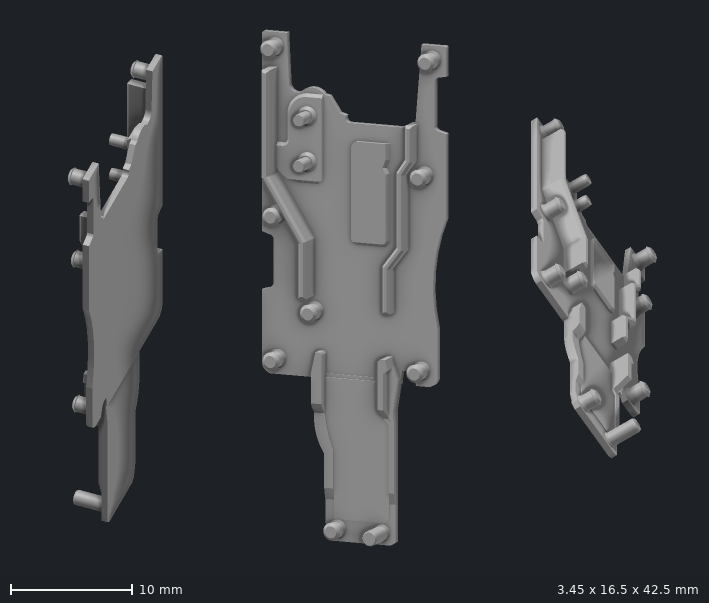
import cadquery as cq
import math


PLATE = 0.55
PAD = 0.95
LEFT_RIB = 2.65
RIGHT_RIB = 1.9
PIN_TIP = 2.15
BOSS_TIP = 2.9
POST_TIP = 3.45

TONGUE_BACK = 0.13
TONGUE_END = 0.7
FLOOR = 0.75
FLOOR_STEP = 0.65
RAIL = 0.95
LEFT_STAND = 1.6
RIGHT_STAND = 2.35
STAND_LEDGE = 1.2

WIDTH = 16.5
HEIGHT = 42.45
PLATE_BOTTOM = 13.63
NOTCH_DEPTH = 1.0

RELIEF_FOOT = (4.08, 14.1)

RIB_WIDTH = 0.7
RIB_CHAMFER = 0.2
PAD_BEVEL = 0.25
TIP_CORNER = 0.15

SNAP_PIN_PLACES = [
    (15.32, 41.2), (1.25, 41.2), (1.9, 31.4), (15.1, 27.13),
    (15.1, 14.95), (11.75, 19.25), (2.2, 14.95),
]
TONGUE_PIN_PLACE = (9.68, 1.0)
BOSS_PLACES = [(12.25, 35.65), (12.25, 31.8)]
POST_PLACE = (5.7, 1.0)


def at_level(level):
    """YZ workplane at a level in front of the back face."""
    return cq.Workplane("YZ", origin=(-level, 0, 0))


def slab(points, front, back=0.0):
    """Extrude a straight-sided outline between two levels."""
    return at_level(front).polyline(points).close().extrude(front - back)


def turned(profile, place):
    """Revolve a (radius, level) profile about an axis along X through a (Y, Z) place."""
    points = [(-level, radius) for radius, level in profile]
    turned_part = cq.Workplane("XY").polyline(points).close().revolve(360, (0, 0), (1, 0))
    return turned_part.translate((0, *place))


def offset_path(path, distance):
    """Move an open path sideways, keeping its corners mitred."""
    headings = [math.atan2(z1 - z0, y1 - y0) for (y0, z0), (y1, z1) in zip(path, path[1:])]
    before = headings[:1] + headings
    after = headings + headings[-1:]
    moved = []
    for (y, z), start, end in zip(path, before, after):
        normal = (start + end) / 2 + math.pi / 2
        reach = distance / math.cos((end - start) / 2)
        moved.append((y + reach * math.cos(normal), z + reach * math.sin(normal)))
    return moved


def side_sweep(profile):
    """Extrude an (X, Z) side profile across the full width."""
    return cq.Workplane("XZ").polyline(profile).close().extrude(-WIDTH)


def rib(path, level):
    """Wall of constant width along a path, with its top edges chamfered."""
    half = RIB_WIDTH / 2
    outline = offset_path(path, half) + offset_path(path, -half)[::-1]
    return slab(outline, level).faces("<X").edges().chamfer(RIB_CHAMFER)


def plate():
    """Flat plate with two upper arms, edge notches and a relief beside the tongue."""
    outline = (
        at_level(PLATE)
        .moveTo(WIDTH, HEIGHT)
        .lineTo(14.3, HEIGHT)
        .lineTo(14.1, 38.2)
        .threePointArc((13.85, 37.7), (13.5, 37.53))
        .lineTo(13.07, 37.53)
        .threePointArc((11.95, 38.05), (10.9, 37.53))
        .lineTo(10.5, 37.45)
        .lineTo(9.55, 36.1)
        .lineTo(9.0, 35.9)
        .threePointArc((8.95, 35.5), (8.7, 35.3))
        .lineTo(3.3, 35.3)
        .threePointArc((2.95, 35.6), (2.7, 36.15))
        .lineTo(2.2, HEIGHT)
        .lineTo(0, HEIGHT)
        .lineTo(0, 39.9)
        .lineTo(0.5, 39.8)
        .threePointArc((0.85, 39.75), (NOTCH_DEPTH, 39.48))
        .lineTo(NOTCH_DEPTH, 35.55)
        .threePointArc((0.95, 35.4), (0.75, 35.28))
        .lineTo(0, 35.05)
        .lineTo(0, 27.95)
        .threePointArc((1.15, 23.15), (0.75, 18.5))
        .lineTo(0.75, 14.45)
        .threePointArc((1.0, 13.9), (1.65, PLATE_BOTTOM))
        .lineTo(2.67, PLATE_BOTTOM)
        .lineTo(3.05, 14.6)
        .lineTo(3.3, 14.8)
        .lineTo(3.95, 14.8)
        .lineTo(*RELIEF_FOOT)
        .lineTo(4.1, PLATE_BOTTOM)
        .lineTo(15.8, PLATE_BOTTOM)
        .threePointArc((16.2, 13.9), (WIDTH, 14.35))
        .lineTo(WIDTH, 20.67)
        .lineTo(16.0, 20.8)
        .threePointArc((15.65, 20.95), (15.5, 21.22))
        .lineTo(15.5, 25.05)
        .threePointArc((15.62, 25.25), (15.85, 25.35))
        .lineTo(WIDTH, 25.55)
        .close()
    )
    outer_corners = outline.extrude(PLATE).edges("|X and >Z").edges("<Y or >Y")
    return outer_corners.fillet(TIP_CORNER)


def window_pad():
    """Raised pad with a bevelled, nicked right side and a bevelled bottom."""
    left, right, top, bottom = 8.35, 5.0, 33.88, 25.15
    corner = 0.6
    pad = (
        at_level(PAD)
        .moveTo(right, top)
        .lineTo(left, top)
        .lineTo(left, bottom)
        .lineTo(right + corner, bottom)
        .radiusArc((right, bottom + corner), corner)
        .lineTo(right, 31.35)
        .lineTo(5.25, 31.85)
        .lineTo(right, 32.5)
        .close()
        .extrude(PAD)
    )
    near_right = cq.selectors.BoxSelector((-PAD - 0.42, right - 0.42, bottom), (-PLATE, right + 0.42, top))
    return pad.faces("<X").edges(near_right).chamfer(PAD_BEVEL).edges("|X and >Y").fillet(corner)


def boss_pad():
    """Raised pad under the two bosses, joined to the left rib and bevelled beside the mound."""
    right, top, bottom = 11.0, 37.53, 29.95
    left = 14.18
    rib_side = 15.35
    neck = 33.25
    sweep = 1.83
    neck_corner = 0.35
    lower_corner = 0.42
    pad = (
        at_level(PAD)
        .moveTo(right, top)
        .lineTo(left - sweep, top)
        .radiusArc((left, top - sweep), sweep)
        .lineTo(left, neck + neck_corner)
        .radiusArc((left + neck_corner, neck), -neck_corner)
        .lineTo(rib_side, neck)
        .lineTo(rib_side, 31.9)
        .threePointArc((14.48, 30.52), (13.25, bottom))
        .lineTo(right + lower_corner, bottom)
        .lineTo(right, bottom + lower_corner)
        .close()
        .extrude(PAD)
    )
    return pad.faces("<X").edges("(>Z) or (<Z)").chamfer(PAD_BEVEL)


def ribs():
    """Two cranked ribs standing on the plate."""
    left = rib([(15.4, 39.55), (15.4, 30.55), (12.1, 25.3), (12.1, 20.55)], LEFT_RIB)
    right_path = [(2.85, 35.75), (2.85, 32.77), (3.6, 31.63), (3.6, 25.25), (4.9, 23.6), (4.9, 19.7)]
    return left.union(rib(right_path, RIGHT_RIB))


def snap_pin(place, root=0.0, foot=PLATE):
    """Short pin from the root level, with a flared foot on a face and a bevelled head."""
    foot_radius, shank_radius, head_radius, tip_radius = 0.8, 0.7, 0.75, 0.5
    profile = [
        (0, root), (foot_radius, root), (foot_radius, foot + 0.05), (shank_radius, foot + 0.3),
        (shank_radius, PIN_TIP - 0.3), (head_radius, PIN_TIP - 0.25), (tip_radius, PIN_TIP), (0, PIN_TIP),
    ]
    return turned(profile, place)


def boss(place):
    """Long slim pin on a conical foot, tapered at its tip."""
    foot_radius, cone_radius, shank_radius, tip_radius = 0.85, 0.6, 0.5, 0.45
    cone_top, taper_start = PAD + 0.3, BOSS_TIP - 0.3
    profile = [
        (0, 0), (foot_radius, 0), (foot_radius, PAD + 0.1), (cone_radius, cone_top), (shank_radius, cone_top),
        (shank_radius, taper_start), (tip_radius, BOSS_TIP), (0, BOSS_TIP),
    ]
    return turned(profile, place)


def post(place):
    """Plain post with a low foot and a chamfered end."""
    foot_radius, shank_radius, tip_radius = 0.72, 0.65, 0.55
    profile = [
        (0, TONGUE_BACK), (foot_radius, TONGUE_BACK), (foot_radius, TONGUE_END + 0.1),
        (shank_radius, TONGUE_END + 0.15), (shank_radius, POST_TIP - 0.15),
        (tip_radius, POST_TIP), (0, POST_TIP),
    ]
    return turned(profile, place)


def tongue():
    """Channel-shaped tongue: two rails, a floor between them and a stand on each rail."""
    left, right = 10.8, 4.5
    outer_left = 11.67
    lower_step, upper_step = 13.75, 14.05

    whole = (
        at_level(RAIL)
        .moveTo(outer_left, RELIEF_FOOT[1])
        .lineTo(outer_left, 9.98)
        .threePointArc((11.38, 8.55), (left, 7.35))
        .lineTo(left, 1.55)
        .lineTo(10.53, 0.6)
        .lineTo(10.53, 0.35)
        .lineTo(10.05, 0)
        .lineTo(4.92, 0)
        .lineTo(right, 0.3)
        .lineTo(right, 11.45)
        .lineTo(*RELIEF_FOOT)
        .close()
        .extrude(RAIL - TONGUE_BACK)
    )
    floor_left, floor_right, floor_bottom = 9.98, 5.0, 1.85
    floor_corner = 0.6
    channel_left, channel_right = 10.75, 5.4
    channel = (
        at_level(RIGHT_STAND)
        .moveTo(channel_left, HEIGHT)
        .lineTo(channel_left, 10.82)
        .threePointArc((10.45, 9.13), (floor_left, 7.65))
        .lineTo(floor_left, floor_bottom)
        .lineTo(floor_right + floor_corner, floor_bottom)
        .radiusArc((floor_right, floor_bottom + floor_corner), floor_corner)
        .lineTo(floor_right, 10.2)
        .lineTo(channel_right, 10.6)
        .lineTo(channel_right, HEIGHT)
        .close()
        .extrude(RIGHT_STAND - TONGUE_BACK)
    )
    floor_profile = [
        (-FLOOR, 0), (-FLOOR, lower_step), (-FLOOR_STEP, lower_step), (-FLOOR_STEP, upper_step),
        (-TONGUE_BACK, upper_step), (-TONGUE_BACK, 0),
    ]
    rail_profile = [
        (-TONGUE_END, 0), (-TONGUE_END, 3.5), (-RAIL, 4.45),
        (-RAIL, PLATE_BOTTOM), (-TONGUE_BACK, PLATE_BOTTOM), (-TONGUE_BACK, 0),
    ]

    rails = whole.intersect(side_sweep(rail_profile)).cut(channel)
    floor = whole.intersect(side_sweep(floor_profile)).intersect(channel)

    stand_top, stand_foot = 15.95, 10.75
    left_stand = slab(
        [(11.3, stand_top), (10.85, stand_top), (channel_left, 15.8), (channel_left, stand_foot),
         (outer_left, stand_foot), (outer_left, 14.18)],
        LEFT_STAND, TONGUE_BACK,
    )
    left_side = [
        (-LEFT_STAND, stand_top), (-LEFT_STAND, 11.65), (-1.45, 11.25), (-RAIL, stand_foot),
        (-TONGUE_BACK, stand_foot), (-TONGUE_BACK, stand_top),
    ]
    ledge_edge = 4.9
    right_stand = slab(
        [(5.2, stand_top), (4.75, stand_top), (right, 15.2), (ledge_edge, 14.8), (ledge_edge, stand_foot),
         (channel_right, stand_foot), (channel_right, 15.8)],
        RIGHT_STAND, TONGUE_BACK,
    )
    right_side = [
        (-RIGHT_STAND, stand_top), (-RIGHT_STAND, 11.7), (-RAIL, stand_foot),
        (-TONGUE_BACK, stand_foot), (-TONGUE_BACK, stand_top),
    ]
    ledge = slab(
        [(ledge_edge, 15.2), (right, 15.2), RELIEF_FOOT, (right, 11.45),
         (right, stand_foot), (ledge_edge, stand_foot)],
        STAND_LEDGE, TONGUE_BACK,
    )
    return (
        rails.union(floor).union(ledge)
        .union(left_stand.intersect(side_sweep(left_side)))
        .union(right_stand.intersect(side_sweep(right_side)))
    )


result = plate().union(window_pad()).union(boss_pad()).union(ribs()).union(tongue())
for place in SNAP_PIN_PLACES:
    result = result.union(snap_pin(place))
for place in BOSS_PLACES:
    result = result.union(boss(place))
result = result.union(snap_pin(TONGUE_PIN_PLACE, TONGUE_BACK, TONGUE_END)).union(post(POST_PLACE))